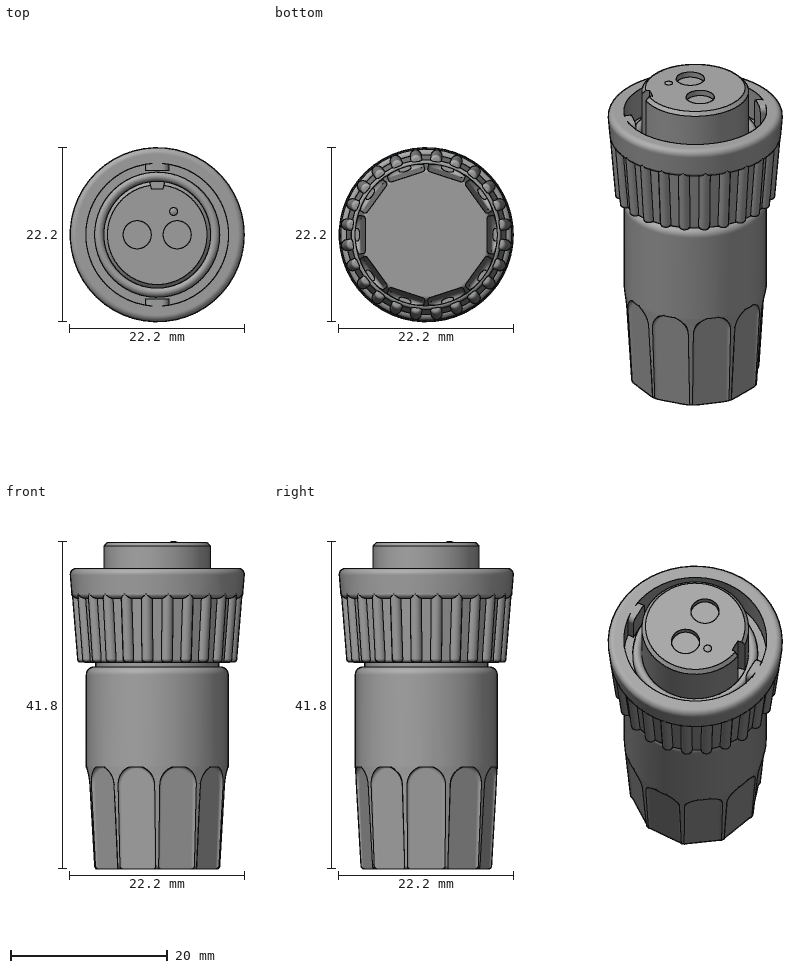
import cadquery as cq
import math

INSERT_RADIUS = 6.8
INSERT_CHAMFER = 0.45
OVERALL_HEIGHT = 41.8
DOT_HEIGHT = 0.13
DOT_RADIUS = 0.5
DOT_X = 2.1
DOT_Y = 2.95
FACE_Z = OVERALL_HEIGHT - DOT_HEIGHT
CONTACT_RADIUS = 1.8
CONTACT_SPACING = 5.1
CONTACT_DEPTH = 0.75
KEYWAY_FLOOR_WIDTH = 1.45
KEYWAY_MOUTH_WIDTH = 1.95
KEYWAY_FLOOR_Y = 5.8

RING_RADIUS = 11.1
RING_TOP_Z = 38.37
RING_TOP_FILLET = 0.8
RING_BOTTOM_Z = 26.38
RING_BOTTOM_FILLET = 0.38
RING_TAPER = 4.65
RING_BORE_RADIUS = 9.1
RING_BORE_DEPTH = 4.15
BORE_FLOOR_Z = RING_TOP_Z - RING_BORE_DEPTH
COLLAR_BOTTOM_Z = 34.53
COLLAR_FILLET = 0.63
RIDGE_COUNT = 24
RIDGE_RADIUS = 0.7
VALLEY_DEPTH = 0.65
KEY_WIDTH = 2.95
KEY_INNER_Y = 8.2
KEY_ROUND = 0.8

BEAD_RADIUS = 0.6
BEAD_CENTRE_RADIUS = INSERT_RADIUS + BEAD_RADIUS
BEAD_CENTRE_Z = BORE_FLOOR_Z + BEAD_RADIUS

NECK_RADIUS = 7.85
BODY_RADIUS = 9.05
BODY_TOP_Z = 25.8
BODY_FILLET = 1.0
GRIP_TOP_Z = 13.05
GRIP_BOTTOM_RADIUS = 8.3
GRIP_BOTTOM_FILLET = 0.45
FACET_COUNT = 10
FACET_WIDTH = 4.95
FACET_APEX_Z = 13.2
FACET_FLOOR_RADIUS = 7.77
FACET_TAPER = 2.7
FACET_FILLET = 0.4

CUT_MARGIN = 2.1


def ring_radius(z):
    """Outer radius of the tapered coupling ring at height z."""
    taper_start_z = RING_TOP_Z - RING_TOP_FILLET
    return RING_RADIUS - (taper_start_z - z) * math.tan(math.radians(RING_TAPER))


def revolved(bottom_radius, bottom_z, top_radius, top_z):
    """Solid cone frustum or cylinder about the Z axis."""
    outline = [(0, bottom_z), (bottom_radius, bottom_z), (top_radius, top_z), (0, top_z)]
    return cq.Workplane("XZ").polyline(outline).close().revolve(360, (0, 0), (0, 1))


def make_body():
    body = revolved(BODY_RADIUS, GRIP_TOP_Z, BODY_RADIUS, BODY_TOP_Z)
    body = body.faces(">Z").edges().fillet(BODY_FILLET)
    neck = revolved(NECK_RADIUS, GRIP_TOP_Z, NECK_RADIUS, BORE_FLOOR_Z)
    return body.union(neck)


def make_grip():
    """Tapered grip with a ring of flat, arch-topped recesses."""
    grip = revolved(GRIP_BOTTOM_RADIUS, 0, BODY_RADIUS, GRIP_TOP_Z)
    grip = grip.faces("<Z").edges().fillet(GRIP_BOTTOM_FILLET)

    taper = math.radians(FACET_TAPER)
    facet_plane = cq.Plane(
        origin=(FACET_FLOOR_RADIUS, 0, 0),
        xDir=(0, 1, 0),
        normal=(math.cos(taper), 0, -math.sin(taper)),
    )
    half_width = FACET_WIDTH / 2
    arch_start = FACET_APEX_Z - half_width
    recess = (
        cq.Workplane(facet_plane)
        .moveTo(-half_width, -CUT_MARGIN)
        .lineTo(half_width, -CUT_MARGIN)
        .lineTo(half_width, arch_start)
        .threePointArc((0, FACET_APEX_Z), (-half_width, arch_start))
        .close()
        .extrude(CUT_MARGIN)
    )
    recess = recess.faces(cq.selectors.DirectionMinMaxSelector(facet_plane.zDir, False))
    recess = recess.edges().fillet(FACET_FILLET)
    for i in range(FACET_COUNT):
        grip = grip.cut(recess.rotate((0, 0, 0), (0, 0, 1), i * 360 / FACET_COUNT))
    return grip


def make_ridge():
    """One round ridge lying along the taper of the ring, at +X."""
    taper = math.radians(RING_TAPER)
    start_z = RING_BOTTOM_Z + RIDGE_RADIUS * math.sin(taper)
    axis_radius = ring_radius(start_z) - RIDGE_RADIUS / math.cos(taper)
    ridge_plane = cq.Plane(
        origin=(axis_radius, 0, start_z),
        xDir=(0, 1, 0),
        normal=(math.sin(taper), 0, math.cos(taper)),
    )
    length = COLLAR_BOTTOM_Z + COLLAR_FILLET - start_z
    ridge = cq.Workplane(ridge_plane).circle(RIDGE_RADIUS).extrude(length)
    return ridge.faces("<Z").edges().fillet(RING_BOTTOM_FILLET)


def make_ring():
    collar = revolved(ring_radius(COLLAR_BOTTOM_Z), COLLAR_BOTTOM_Z, ring_radius(RING_TOP_Z), RING_TOP_Z)
    collar = collar.faces(">Z").edges().fillet(RING_TOP_FILLET)
    collar = collar.faces("<Z").edges().fillet(COLLAR_FILLET)
    core = revolved(
        ring_radius(RING_BOTTOM_Z) - VALLEY_DEPTH,
        RING_BOTTOM_Z,
        ring_radius(COLLAR_BOTTOM_Z) - VALLEY_DEPTH,
        COLLAR_BOTTOM_Z,
    )
    core = core.faces("<Z").edges().fillet(RING_BOTTOM_FILLET)
    ring = collar.union(core)

    ridge = make_ridge()
    pitch = 360 / RIDGE_COUNT
    for i in range(RIDGE_COUNT):
        ring = ring.union(ridge.rotate((0, 0, 0), (0, 0, 1), (i + 0.5) * pitch))

    return ring.cut(revolved(RING_BORE_RADIUS, BORE_FLOOR_Z, RING_BORE_RADIUS, RING_TOP_Z))


def make_key():
    """Key inside the ring bore at +Y, with rounded upper corners."""
    key_height = RING_TOP_Z - BORE_FLOOR_Z
    key_depth = RING_BORE_RADIUS - KEY_INNER_Y
    key = (
        cq.Workplane("XY", origin=(0, KEY_INNER_Y, BORE_FLOOR_Z))
        .box(KEY_WIDTH, key_depth, key_height, centered=(True, False, False))
    )
    return key.edges("|Y and >Z").fillet(KEY_ROUND)


def make_insert():
    insert = revolved(INSERT_RADIUS, BORE_FLOOR_Z, INSERT_RADIUS, FACE_Z)
    insert = insert.faces(">Z").edges().chamfer(INSERT_CHAMFER)

    contacts = (
        cq.Workplane("XY", origin=(0, 0, FACE_Z))
        .pushPoints([(-CONTACT_SPACING / 2, 0), (CONTACT_SPACING / 2, 0)])
        .circle(CONTACT_RADIUS)
        .extrude(-CONTACT_DEPTH)
    )
    keyway = (
        cq.Workplane("XY", origin=(0, 0, BEAD_CENTRE_Z))
        .polyline([
            (-KEYWAY_FLOOR_WIDTH / 2, KEYWAY_FLOOR_Y),
            (KEYWAY_FLOOR_WIDTH / 2, KEYWAY_FLOOR_Y),
            (KEYWAY_MOUTH_WIDTH / 2, INSERT_RADIUS),
            (-KEYWAY_MOUTH_WIDTH / 2, INSERT_RADIUS),
        ])
        .close()
        .extrude(FACE_Z - BEAD_CENTRE_Z)
    )
    return insert.cut(contacts).cut(keyway)


def make_bead():
    """Round-topped sealing bead filling the corner between insert and bore floor."""
    return (
        cq.Workplane("XZ")
        .moveTo(INSERT_RADIUS - BEAD_RADIUS, BORE_FLOOR_Z)
        .lineTo(BEAD_CENTRE_RADIUS + BEAD_RADIUS, BORE_FLOOR_Z)
        .lineTo(BEAD_CENTRE_RADIUS + BEAD_RADIUS, BEAD_CENTRE_Z)
        .threePointArc(
            (BEAD_CENTRE_RADIUS, BEAD_CENTRE_Z + BEAD_RADIUS),
            (INSERT_RADIUS, BEAD_CENTRE_Z),
        )
        .lineTo(INSERT_RADIUS - BEAD_RADIUS, BEAD_CENTRE_Z)
        .close()
        .revolve(360, (0, 0), (0, 1))
    )


def make_dot():
    """Shallow domed marking dot: a sphere sunk into the insert so that only its cap shows."""
    sphere_radius = (DOT_RADIUS**2 + DOT_HEIGHT**2) / (2 * DOT_HEIGHT)
    sphere = cq.Workplane("XY").sphere(sphere_radius)
    return sphere.translate((DOT_X, DOT_Y, OVERALL_HEIGHT - sphere_radius))


key = make_key()
result = (
    make_body()
    .union(make_grip())
    .union(make_ring())
    .union(key)
    .union(key.mirror("XZ"))
    .union(make_insert())
    .union(make_bead())
    .union(make_dot())
)